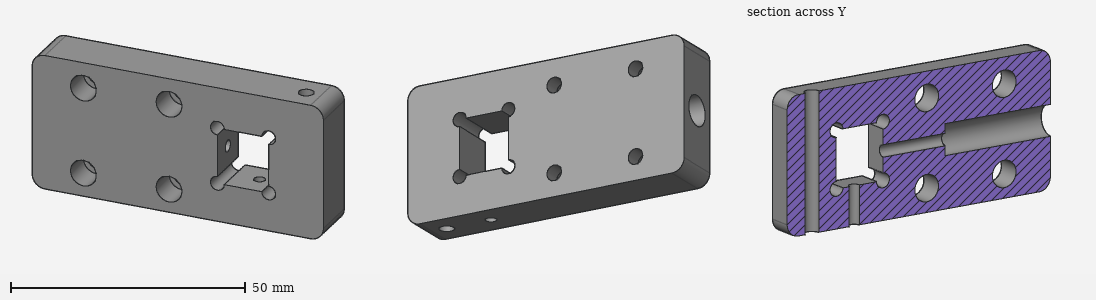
import cadquery as cq

length = 68.05
thickness = 11.0
height = 31.45
corner_radius = 3.0
mid_thickness = thickness / 2

feature_axis_height = 15.45

screw_spacing = 20.0
screw_pattern_center_x = 22.0
screw_hole_diameter = 3.55
screw_head_diameter = 6.0
screw_head_depth = 6.8

window_width = 12.0
window_height = 13.0
window_center_x = 49.3
relief_diameter = 3.2

bore_diameter = 7.0
bore_depth = 27.2
pilot_diameter = 2.65

cross_hole_x = 61.6
cross_hole_diameter = 3.4
floor_hole_x = 50.7
floor_hole_diameter = 2.5


def cylinder_along_x(diameter, depth):
    """Cylinder starting at the left end, on the feature axis."""
    return (
        cq.Workplane("YZ")
        .center(mid_thickness, feature_axis_height)
        .circle(diameter / 2)
        .extrude(depth)
    )


def cylinders_along_y(points, diameter, depth):
    """Cylinders at (x, z) points, running from the front face into the block."""
    return cq.Workplane("XZ").pushPoints(points).circle(diameter / 2).extrude(-depth)


def cylinder_along_z(x, diameter, depth):
    """Cylinder starting at the bottom face, centred in the thickness."""
    return cq.Workplane("XY").center(x, mid_thickness).circle(diameter / 2).extrude(depth)


def rectangle_corners(center_x, width, depth):
    """The (x, z) corners of a rectangle centred on the feature axis."""
    return [
        (center_x + side * width / 2, feature_axis_height + level * depth / 2)
        for side in (-1, 1)
        for level in (-1, 1)
    ]


def make_block():
    block = cq.Workplane("XY").box(length, thickness, height, centered=False)
    return block.edges("|Y").fillet(corner_radius)


def make_screw_holes():
    points = rectangle_corners(screw_pattern_center_x, screw_spacing, screw_spacing)
    shanks = cylinders_along_y(points, screw_hole_diameter, thickness)
    heads = cylinders_along_y(points, screw_head_diameter, screw_head_depth)
    return shanks.union(heads)


def make_window():
    opening = (
        cq.Workplane("XZ")
        .center(window_center_x, feature_axis_height)
        .rect(window_width, window_height)
        .extrude(-thickness)
    )
    corners = rectangle_corners(window_center_x, window_width, window_height)
    return opening.union(cylinders_along_y(corners, relief_diameter, thickness))


def make_end_bore():
    bore = cylinder_along_x(bore_diameter, bore_depth)
    pilot = cylinder_along_x(pilot_diameter, window_center_x)
    return bore.union(pilot)


cross_hole = cylinder_along_z(cross_hole_x, cross_hole_diameter, height)
floor_hole = cylinder_along_z(floor_hole_x, floor_hole_diameter, feature_axis_height)

result = (
    make_block()
    .cut(make_screw_holes())
    .cut(make_window())
    .cut(make_end_bore())
    .cut(cross_hole)
    .cut(floor_hole)
)